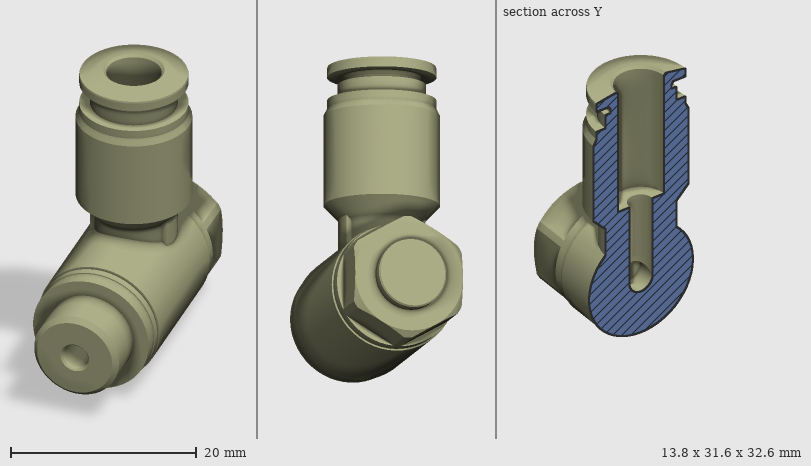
import cadquery as cq
import math


tip_y = -18.52
stem_radius = 4.85
tip_chamfer = 0.55
flange_front_y = -13.5
flange_radius = 6.62
washer_front_y = -11.87
washer_back_y = -11.05
washer_radius = 6.75
groove_radius = 6.243
body_front_y = -10.82
body_back_y = 4.95
body_radius = 6.895
collar_radius = 6.7
hex_front_y = 6.42
hex_back_y = 11.45
hex_across_flats = 12.0
hex_chamfer_length = 0.55
knob_back_y = 13.05
knob_radius = 3.75
knob_chamfer = 0.15

top_z = 32.6 - body_radius
neck_radius = 4.25
neck_fillet_bottom_z = 7.65
cone_bottom_z = 8.28
cone_bottom_radius = 4.55
cone_top_z = 10.05
socket_radius = 6.3
socket_bevel_bottom_z = 19.9
socket_collar_bottom_z = 20.65
socket_collar_radius = 5.9
sleeve_bottom_z = 21.6
sleeve_radius = 4.743
release_neck_bottom_z = 23.35
release_neck_radius = 4.05
release_flare_z = 23.73
release_flare_radius = 4.27
release_disc_bottom_z = 24.15
release_disc_radius = 5.9
release_edge_z = 25.07
release_rim_z = 25.25
release_rim_radius = 5.852

rib_radius = 4.73
rib_width = 3.55

bore_diameter = 3.0
bore_end_y = 2.28
bore_mouth_chamfer = 0.15
hose_diameter = 6.0
hose_floor_z = cone_top_z
hose_mouth_chamfer = 0.3


def cylinder_y(radius, start_y, end_y):
    """Solid cylinder about the Y axis between two positions."""
    return cq.Workplane("XZ", origin=(0, start_y, 0)).circle(radius).extrude(start_y - end_y)


def make_banjo_body():
    profile = [
        (0, tip_y),
        (stem_radius - tip_chamfer, tip_y),
        (stem_radius, tip_y + tip_chamfer),
        (stem_radius, flange_front_y),
        (flange_radius, flange_front_y),
        (flange_radius, washer_front_y),
        (washer_radius, washer_front_y),
        (washer_radius, washer_back_y),
        (groove_radius, washer_back_y),
        (groove_radius, body_front_y),
        (body_radius, body_front_y),
        (body_radius, body_back_y),
        (collar_radius, body_back_y),
        (collar_radius, hex_front_y),
        (knob_radius, hex_front_y),
        (knob_radius, knob_back_y - knob_chamfer),
        (knob_radius - knob_chamfer, knob_back_y),
        (0, knob_back_y),
    ]
    return cq.Workplane("XY").polyline(profile).close().revolve(360, (0, 0), (0, 1))


def make_hex():
    """Hexagon with flats facing +X and -X, its corners turned down to the collar radius."""
    across_corners = hex_across_flats / math.cos(math.pi / 6)
    prism = (
        cq.Workplane("XZ", origin=(0, hex_front_y, 0))
        .transformed(rotate=(0, 0, 30))
        .polygon(6, across_corners)
        .extrude(hex_front_y - hex_back_y)
    )
    turned_profile = [
        (0, hex_front_y),
        (collar_radius, hex_front_y),
        (collar_radius, hex_back_y - hex_chamfer_length),
        (hex_across_flats / 2, hex_back_y),
        (0, hex_back_y),
    ]
    turned = cq.Workplane("XY").polyline(turned_profile).close().revolve(360, (0, 0), (0, 1))
    return prism.intersect(turned)


def make_socket():
    """Neck, cone, socket and release button turned about Z."""
    profile = (
        cq.Workplane("XZ")
        .lineTo(neck_radius, 0)
        .lineTo(neck_radius, neck_fillet_bottom_z)
        .tangentArcPoint((cone_bottom_radius, cone_bottom_z), relative=False)
        .lineTo(socket_radius, cone_top_z)
        .lineTo(socket_radius, socket_bevel_bottom_z)
        .lineTo(socket_collar_radius, socket_collar_bottom_z)
        .lineTo(socket_collar_radius, sleeve_bottom_z)
        .lineTo(sleeve_radius, sleeve_bottom_z)
        .lineTo(sleeve_radius, release_neck_bottom_z)
        .lineTo(release_neck_radius, release_neck_bottom_z)
        .lineTo(release_neck_radius, release_flare_z)
        .lineTo(release_flare_radius, release_disc_bottom_z)
        .lineTo(release_disc_radius, release_disc_bottom_z)
        .lineTo(release_disc_radius, release_edge_z)
        .lineTo(release_rim_radius, release_rim_z)
        .lineTo(hose_diameter / 2 + hose_mouth_chamfer, top_z)
        .lineTo(0, top_z)
        .close()
    )
    return profile.revolve(360, (0, 0), (0, 1))


def make_ribs():
    """Two round-faced ribs reaching from the banjo body up into the cone."""
    slab = cq.Workplane("XY").rect(2 * rib_radius, rib_width).extrude(cone_top_z)
    return cq.Workplane("XY").circle(rib_radius).extrude(cone_top_z).intersect(slab)


def make_passages():
    """Blind bore from the tip, meeting the drilling below the hose pocket."""
    bore_radius = bore_diameter / 2
    hose_radius = hose_diameter / 2
    long_bore = cylinder_y(bore_radius, tip_y, bore_end_y)
    bore_mouth = cq.Workplane("XY").polyline([
        (0, tip_y),
        (bore_radius + bore_mouth_chamfer, tip_y),
        (bore_radius, tip_y + bore_mouth_chamfer),
        (0, tip_y + bore_mouth_chamfer),
    ]).close().revolve(360, (0, 0), (0, 1))
    hose_pocket = cq.Workplane("XZ").polyline([
        (0, 0),
        (bore_radius, 0),
        (bore_radius, hose_floor_z),
        (hose_radius, hose_floor_z),
        (hose_radius, top_z - hose_mouth_chamfer),
        (hose_radius + hose_mouth_chamfer, top_z),
        (0, top_z),
    ]).close().revolve(360, (0, 0), (0, 1))
    return long_bore.union(bore_mouth).union(hose_pocket)


solid_part = make_banjo_body().union(make_hex()).union(make_socket()).union(make_ribs())
result = solid_part.cut(make_passages())